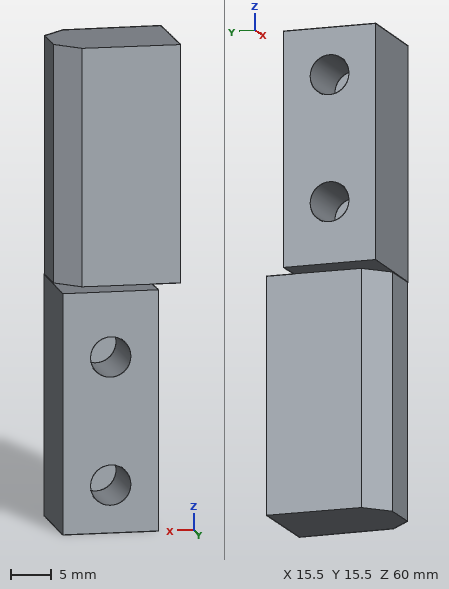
import cadquery as cq

total_height = 60.0
span = 15.5

upper_height = 29.8
lower_height = total_height - upper_height

base_width = 12.0
shoulder_width = 11.65
nose_width = 5.5
shoulder_reach = 12.3
nose_reach = 15.25

hole_diameter = 5.05
hole_depth = 9.0
hole_end_distance = 6.0
hole_pitch = 16.0


def make_leaf(height):
    """Upright leaf with its mounting face on X = 0, centred on Y = 0, and its outer end on top."""
    leaf = (
        cq.Workplane("XY")
        .moveTo(0, -base_width / 2)
        .lineTo(shoulder_reach, -shoulder_width / 2)
        .lineTo(nose_reach, -nose_width / 2)
        .lineTo(nose_reach, nose_width / 2)
        .lineTo(shoulder_reach, shoulder_width / 2)
        .lineTo(0, base_width / 2)
        .close()
        .extrude(height)
    )
    upper_hole_z = height - hole_end_distance
    hole_centres = [(0, upper_hole_z), (0, upper_hole_z - hole_pitch)]
    holes = cq.Workplane("YZ").pushPoints(hole_centres).circle(hole_diameter / 2).extrude(hole_depth)
    return leaf.cut(holes)


upper_leaf = make_leaf(upper_height).translate((0, base_width / 2, lower_height))

lower_leaf = (
    make_leaf(lower_height)
    .rotate((0, 0, 0), (1, 0, 0), 180)
    .rotate((0, 0, 0), (0, 0, 1), -90)
    .translate((span - base_width / 2, span, lower_height))
)

result = cq.Compound.makeCompound([upper_leaf.val(), lower_leaf.val()])